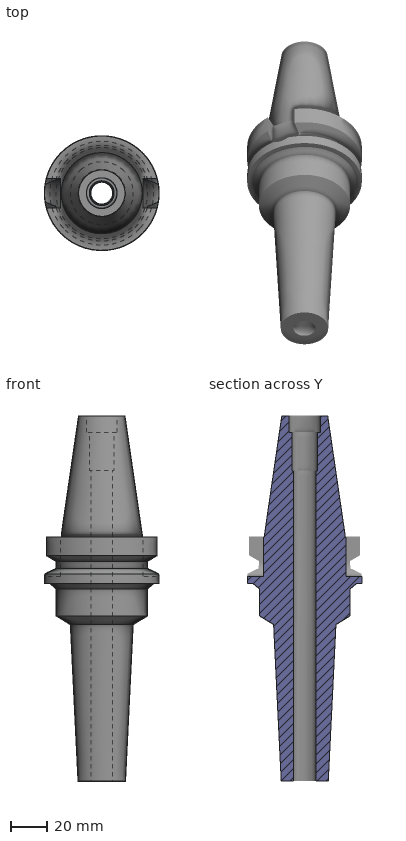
import cadquery as cq

total_length = 200.5

taper_length = 65.3
gauge_radius = 22.2
taper_ratio = 7 / 24
taper_tip_radius = gauge_radius - taper_length * taper_ratio / 2
shank_collar_length = 1.0

flange_radius = 31.5
groove_radius = 26.3
flange_top = total_length - taper_length - shank_collar_length
upper_rim_bottom = 123.8
groove_top = 120.6
groove_bottom = 116.6
lower_rim_top = 113.8
flange_bottom = 108.5

body_radius = 25.0
body_chamfer_top_radius = 28.5
body_top = 105.6
body_bottom = 90.8
nose_top = 86.0
nose_top_radius = 17.2
nose_tip_radius = 13.0

slot_width = 16.2
slot_floor_distance = 22.6
slot_bottom = 112.5

socket_radius = 8.5
socket_depth = 9.0
thread_radius = 6.8
thread_depth = 30.0
through_radius = 6.0


def turned_body():
    profile = [
        (0, 0),
        (nose_tip_radius, 0),
        (nose_top_radius, nose_top),
        (body_radius, body_bottom),
        (body_radius, body_top),
        (body_chamfer_top_radius, flange_bottom),
        (flange_radius, flange_bottom),
        (flange_radius, lower_rim_top),
        (groove_radius, groove_bottom),
        (groove_radius, groove_top),
        (flange_radius, upper_rim_bottom),
        (flange_radius, flange_top),
        (gauge_radius, flange_top),
        (gauge_radius, flange_top + shank_collar_length),
        (taper_tip_radius, total_length),
        (0, total_length),
    ]
    return cq.Workplane("XZ").polyline(profile).close().revolve(360, (0, 0), (0, 1))


def drive_slot(side):
    """Round-ended slot cutter; side is +1 or -1 along X."""
    half_width = slot_width / 2
    arc_center = slot_bottom + half_width
    return (
        cq.Workplane("YZ", origin=(side * slot_floor_distance, 0, 0))
        .moveTo(-half_width, flange_top)
        .lineTo(-half_width, arc_center)
        .threePointArc((0, slot_bottom), (half_width, arc_center))
        .lineTo(half_width, flange_top)
        .close()
        .extrude(side * flange_radius)
    )


def bore_from_top(radius, depth):
    return cq.Workplane("XY").workplane(offset=total_length - depth).circle(radius).extrude(depth)


result = turned_body()
for side in (-1, 1):
    result = result.cut(drive_slot(side))
for radius, depth in (
    (socket_radius, socket_depth),
    (thread_radius, thread_depth),
    (through_radius, total_length),
):
    result = result.cut(bore_from_top(radius, depth))